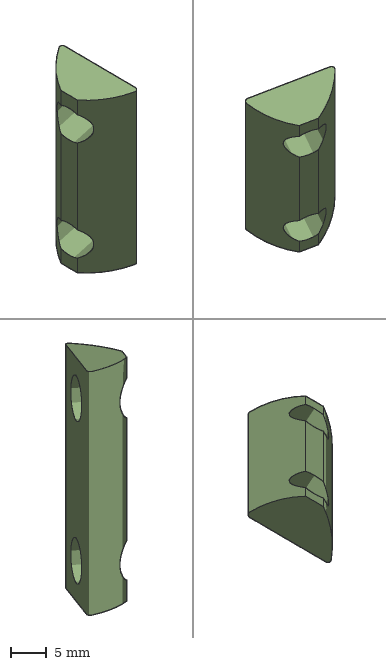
import cadquery as cq
import math

width = 13.7
depth = 7.0
length = 36.0

front_flat_width = 2.95
flank_radius = 15.0
corner_radius = 0.5

hole_diameter = 6.6
hole_end_distance = 6.0

back_y = depth / 2
front_y = -depth / 2
half_flat = front_flat_width / 2

corner_x = width / 2 - corner_radius
corner_y = back_y - corner_radius

inner_radius = flank_radius - corner_radius
span_x = corner_x - half_flat
span_y = corner_y - front_y
span = math.hypot(span_x, span_y)
along = (span**2 + flank_radius**2 - inner_radius**2) / (2 * span)
across = math.sqrt(flank_radius**2 - along**2)
flank_x = half_flat + (along * span_x - across * span_y) / span
flank_y = front_y + (along * span_y + across * span_x) / span


def flank_point(angle):
    """Point on the right flank arc at an angle in radians from +X."""
    return (flank_x + flank_radius * math.cos(angle), flank_y + flank_radius * math.sin(angle))


def corner_point(angle):
    """Point on the right corner round at an angle in radians from +X."""
    return (corner_x + corner_radius * math.cos(angle), corner_y + corner_radius * math.sin(angle))


def mirrored(point):
    return (-point[0], point[1])


def make_bar():
    flat_angle = math.atan2(front_y - flank_y, half_flat - flank_x)
    tangent_angle = math.atan2(corner_y - flank_y, corner_x - flank_x)
    flat_end = (half_flat, front_y)
    flank_mid = flank_point((flat_angle + tangent_angle) / 2)
    tangent = corner_point(tangent_angle)
    corner_mid = corner_point((tangent_angle + math.pi / 2) / 2)
    back_end = (corner_x, back_y)
    return (
        cq.Workplane("XY")
        .moveTo(*mirrored(flat_end))
        .lineTo(*flat_end)
        .threePointArc(flank_mid, tangent)
        .threePointArc(corner_mid, back_end)
        .lineTo(*mirrored(back_end))
        .threePointArc(mirrored(corner_mid), mirrored(tangent))
        .threePointArc(mirrored(flank_mid), mirrored(flat_end))
        .close()
        .extrude(length)
    )


def make_holes():
    return (
        cq.Workplane("XZ", origin=(0, back_y, 0))
        .pushPoints([(0, hole_end_distance), (0, length - hole_end_distance)])
        .circle(hole_diameter / 2)
        .extrude(depth)
    )


result = make_bar().cut(make_holes())